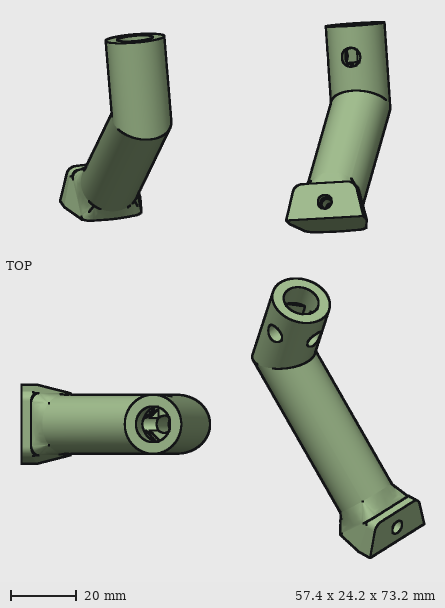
import cadquery as cq
import math

TUBE_D = 18.0
LOWER_ANGLE = 47.2
BEND = 59.8
UPPER_ANGLE = LOWER_ANGLE + BEND
ELBOW_X = 47.3
ELBOW_Z = 46.75
UPPER_LENGTH = 24.9
LOWER_LENGTH = 50.4
MITER_OVERRUN = TUBE_D

SOCKET_D = 10.9
SOCKET_DEPTH = 7.3
CORE_D = 5.3
CORE_DEPTH = 24.9
POCKET_SIZE = 9.2
POCKET_DEPTH = 11.7
CROSS_D = 5.8
CROSS_DEPTH = 9.5

FOOT_WIDTH = 24.15
FOOT_HEIGHT = 11.1
FOOT_TOP_HALF = 9.45
CORNER_R = 3.0
NECK_LENGTH = 5.85
CORNER_SPREAD = 1.0
NECK_WIDTH = 18.9
NECK_HEIGHT = 18.3
NECK_DROP = 0.8
SIDE_START = 4.75

SCREW_Z = 5.2
SCREW_HEAD_D = 4.3
SCREW_D = 3.3
SCREW_HEAD_DEPTH = 2.9
SCREW_DEPTH = 8.8

LARGE = 146.3


def direction(angle):
    return cq.Vector(math.cos(math.radians(angle)), 0, math.sin(math.radians(angle)))


ELBOW = cq.Vector(ELBOW_X, 0, ELBOW_Z)
LOWER_AXIS = direction(LOWER_ANGLE)
UPPER_AXIS = direction(UPPER_ANGLE)
NECK_END = ELBOW - LOWER_AXIS * LOWER_LENGTH
NECK_DOWN = direction(LOWER_ANGLE - 90)
NECK_START = NECK_END - LOWER_AXIS * NECK_LENGTH + NECK_DOWN * NECK_DROP
TOP_END = ELBOW + UPPER_AXIS * UPPER_LENGTH


def rod(start, axis, diameter, length):
    return cq.Workplane(cq.Solid.makeCylinder(diameter / 2, length, start, axis))


def half_space(origin, normal):
    """Large block filling the side of a plane that its normal points to."""
    return cq.Workplane(cq.Plane(origin=origin, normal=normal)).rect(LARGE, LARGE).extrude(LARGE)


def bent_tube():
    miter_normal = LOWER_AXIS + UPPER_AXIS
    upper_side = half_space(ELBOW, miter_normal)
    lower = rod(NECK_END, LOWER_AXIS, TUBE_D, LOWER_LENGTH + MITER_OVERRUN).cut(upper_side)
    upper = rod(TOP_END, UPPER_AXIS * -1, TUBE_D, UPPER_LENGTH + MITER_OVERRUN).intersect(upper_side)
    return lower.union(upper)


def neck():
    """Ruled blend whose four sides and four corners run into arcs of the tube end."""
    square_plane = cq.Plane(origin=NECK_START, xDir=(0, 1, 0), normal=LOWER_AXIS)
    round_plane = cq.Plane(origin=NECK_END, xDir=(0, 1, 0), normal=LOWER_AXIS)
    half_w = NECK_WIDTH / 2
    half_h = NECK_HEIGHT / 2
    radius = TUBE_D / 2
    bend = CORNER_R * (1 - math.sqrt(0.5))
    flat_w = half_w - CORNER_R
    flat_h = half_h - CORNER_R
    square_end = (
        cq.Workplane(square_plane).moveTo(-flat_w, half_h).lineTo(flat_w, half_h)
        .threePointArc((half_w - bend, half_h - bend), (half_w, flat_h)).lineTo(half_w, -flat_h)
        .threePointArc((half_w - bend, bend - half_h), (flat_w, -half_h)).lineTo(-flat_w, -half_h)
        .threePointArc((bend - half_w, bend - half_h), (-half_w, -flat_h)).lineTo(-half_w, flat_h)
        .threePointArc((bend - half_w, half_h - bend), (-flat_w, half_h)).close().val()
    )

    top = math.radians(45 - CORNER_SPREAD / 2)
    side = math.radians(45 + CORNER_SPREAD / 2)
    ends = [-top, top, side, math.pi - side, math.pi - top, math.pi + top, math.pi + side, -side]

    def on_tube(angle):
        return (radius * math.sin(angle), radius * math.cos(angle))

    round_end = cq.Workplane(round_plane).moveTo(*on_tube(ends[0]))
    for first, last in zip(ends, ends[1:] + ends[:1]):
        sweep = (last - first) % (2 * math.pi)
        round_end = round_end.threePointArc(on_tube(first + sweep / 2), on_tube(first + sweep))
    blend = cq.Solid.makeLoft([square_end, round_end.close().val()], True)
    return cq.Workplane(blend).intersect(half_space((0, 0, 0), (0, 0, 1)))


def foot():
    half = FOOT_WIDTH / 2
    block = (
        cq.Workplane("YZ")
        .polyline([(-half, 0), (half, 0), (FOOT_TOP_HALF, FOOT_HEIGHT), (-FOOT_TOP_HALF, FOOT_HEIGHT)])
        .close().extrude(NECK_END.x + TUBE_D)
        .edges("|X and >Z").fillet(CORNER_R)
    )
    block = block.cut(half_space(NECK_START, LOWER_AXIS))

    neck_low = NECK_START + NECK_DOWN * (NECK_HEIGHT / 2 - CORNER_R)
    neck_high = NECK_START - NECK_DOWN * (NECK_HEIGHT / 2 - CORNER_R)
    for side in (1, -1):
        base = cq.Vector(SIDE_START, side * half, 0)
        low = cq.Vector(neck_low.x, side * NECK_WIDTH / 2, neck_low.z)
        high = cq.Vector(neck_high.x, side * NECK_WIDTH / 2, neck_high.z)
        outward = (high - base).cross(low - base) * side
        block = block.cut(half_space(base, outward))
    return block


def cut_socket(body):
    inward = UPPER_AXIS * -1
    cross_center = TOP_END + inward * CROSS_DEPTH
    body = body.cut(rod(TOP_END, inward, SOCKET_D, SOCKET_DEPTH))
    pocket = (
        cq.Workplane(cq.Plane(origin=TOP_END, xDir=(0, 1, 0), normal=inward))
        .transformed(rotate=(0, 0, 45)).rect(POCKET_SIZE, POCKET_SIZE).extrude(POCKET_DEPTH)
    )
    body = body.cut(pocket.intersect(rod(TOP_END, inward, SOCKET_D, POCKET_DEPTH)))
    body = body.cut(rod(TOP_END, inward, CORE_D, CORE_DEPTH))
    for outward in (direction(UPPER_ANGLE + 90), cq.Vector(0, 1, 0)):
        body = body.cut(rod(cross_center, outward, CROSS_D, TUBE_D))
    return body


def cut_screw_hole(body):
    face_center = cq.Vector(0, 0, SCREW_Z)
    inward = cq.Vector(1, 0, 0)
    body = body.cut(rod(face_center, inward, SCREW_HEAD_D, SCREW_HEAD_DEPTH))
    return body.cut(rod(face_center, inward, SCREW_D, SCREW_DEPTH))


body = bent_tube().union(neck()).union(foot())
result = cut_screw_hole(cut_socket(body))